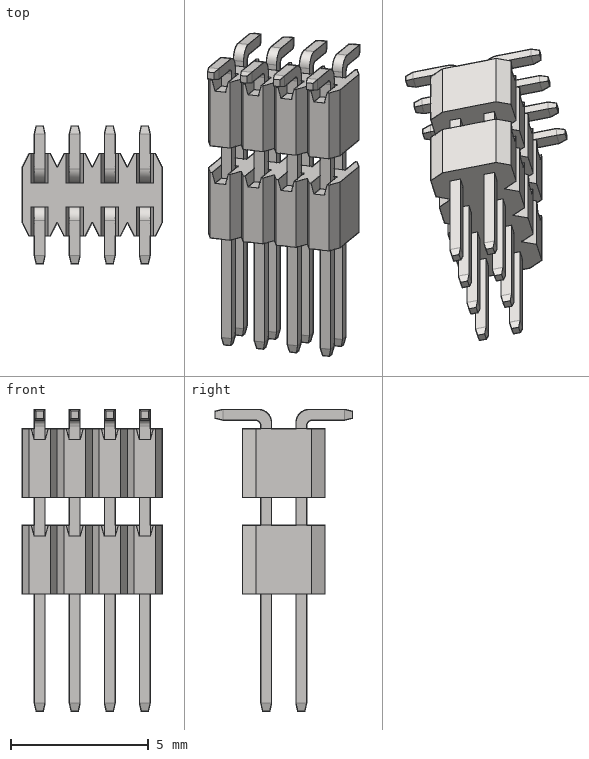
import cadquery as cq
import math

columns = 4
pitch = 1.27

block_length = columns * pitch
block_width = 3.0
block_height = 2.5
block_gap = 1.0
corner_cut_x = 0.25
corner_cut_y = 0.5

notch_top_width = 0.62
notch_depth = 0.4

pin_size = 0.4
tip_size = 0.26
tip_length = 0.3
overall_height = 10.95
overall_width = 5.0
arm_clearance = 0.3
inner_bend_radius = 0.2
outer_bend_radius = 0.5

row_y = pitch / 2
pin_inner_y = row_y - pin_size / 2
pin_outer_y = row_y + pin_size / 2
upper_block_z = block_height + block_gap
arm_bottom_z = upper_block_z + block_height + arm_clearance
arm_top_z = arm_bottom_z + pin_size
arm_center_z = arm_bottom_z + pin_size / 2
tail_end_z = arm_top_z - overall_height
tail_shoulder_z = tail_end_z + tip_length
arm_end_y = overall_width / 2
arm_shoulder_y = arm_end_y - tip_length
column_xs = [(i - (columns - 1) / 2) * pitch for i in range(columns)]


def mirror_row(part):
    """Return the part joined with its copy in the opposite pin row."""
    return part.union(part.mirror("XZ"))


def make_outline_points():
    """Block plan: each column's cell has both of its outer corners cut off."""
    half_cell = pitch / 2
    flat_y = block_width / 2
    valley_y = flat_y - corner_cut_y
    flat_half = half_cell - corner_cut_x
    back = [(-block_length / 2, valley_y)]
    for x in column_xs:
        back += [(x - flat_half, flat_y), (x + flat_half, flat_y), (x + half_cell, valley_y)]
    front = [(x, -y) for x, y in reversed(back)]
    return back + front


def make_notch(x):
    """Trapezoidal channel from the pin's inner face out through the block side."""
    section = [
        (x - notch_top_width / 2, block_height),
        (x - pin_size / 2, block_height - notch_depth),
        (x + pin_size / 2, block_height - notch_depth),
        (x + notch_top_width / 2, block_height),
    ]
    channel = (
        cq.Workplane("XZ", origin=(0, pin_inner_y, 0))
        .polyline(section)
        .close()
        .extrude(pin_inner_y - block_width / 2)
    )
    return mirror_row(channel)


def make_block():
    block = cq.Workplane("XY").polyline(make_outline_points()).close().extrude(block_height)
    for x in column_xs:
        block = block.cut(make_notch(x))
    return block


def make_tip(plane):
    """Square taper along the plane's normal."""
    return (
        cq.Workplane(plane)
        .rect(pin_size, pin_size)
        .workplane(offset=tip_length)
        .rect(tip_size, tip_size)
        .loft(ruled=True)
    )


def make_pin():
    """Pin of the +Y row, centered on X = 0: tail, bend, outward arm and two tapered tips."""
    mid_arc = 1 - math.sqrt(0.5)
    outer_mid = (pin_inner_y + outer_bend_radius * mid_arc, arm_top_z - outer_bend_radius * mid_arc)
    inner_mid = (pin_outer_y + inner_bend_radius * mid_arc, arm_bottom_z - inner_bend_radius * mid_arc)
    shank = (
        cq.Workplane("YZ")
        .moveTo(pin_inner_y, tail_shoulder_z)
        .lineTo(pin_inner_y, arm_top_z - outer_bend_radius)
        .threePointArc(outer_mid, (pin_inner_y + outer_bend_radius, arm_top_z))
        .lineTo(arm_shoulder_y, arm_top_z)
        .lineTo(arm_shoulder_y, arm_bottom_z)
        .lineTo(pin_outer_y + inner_bend_radius, arm_bottom_z)
        .threePointArc(inner_mid, (pin_outer_y, arm_bottom_z - inner_bend_radius))
        .lineTo(pin_outer_y, tail_shoulder_z)
        .close()
        .extrude(pin_size / 2, both=True)
    )
    tail_plane = cq.Plane(origin=(0, row_y, tail_shoulder_z), xDir=(1, 0, 0), normal=(0, 0, -1))
    arm_plane = cq.Plane(origin=(0, arm_shoulder_y, arm_center_z), xDir=(1, 0, 0), normal=(0, 1, 0))
    return shank.union(make_tip(tail_plane)).union(make_tip(arm_plane))


block = make_block()
pin_pair = mirror_row(make_pin())

result = block.union(block.translate((0, 0, upper_block_z)))
for x in column_xs:
    result = result.union(pin_pair.translate((x, 0, 0)))